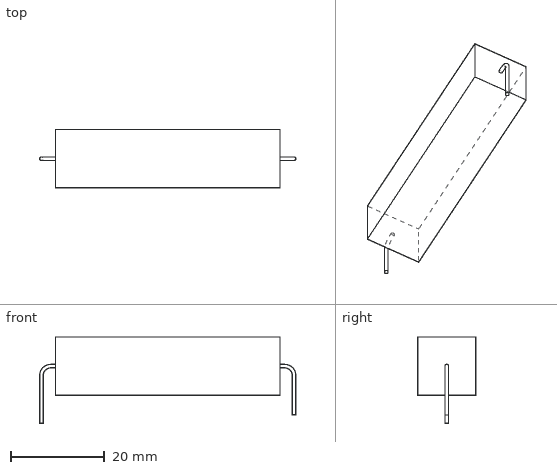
import cadquery as cq

body_length = 48.0
body_width = 12.5
body_height = 12.5

lead_diameter = 0.8
lead_spacing = 54.0
lead_exit_height = body_height / 2
bend_radius = 2.0
left_lead_depth = 6.0
right_lead_depth = 4.2


def make_body():
    return cq.Workplane("XY").box(
        body_length, body_width, body_height, centered=(True, True, False)
    )


def make_lead(side, depth):
    """Bent round wire on the -X (side = -1) or +X (side = 1) end of the body."""
    face_x = side * body_length / 2
    lead_x = side * lead_spacing / 2
    bend_start_x = lead_x - side * bend_radius
    bend_end_z = lead_exit_height - bend_radius

    path = (
        cq.Workplane("XZ")
        .moveTo(face_x, lead_exit_height)
        .lineTo(bend_start_x, lead_exit_height)
        .tangentArcPoint((lead_x, bend_end_z), relative=False)
        .lineTo(lead_x, -depth)
    )
    section = cq.Workplane("YZ", origin=(face_x, 0, lead_exit_height)).circle(lead_diameter / 2)
    return section.sweep(path)


result = (
    make_body()
    .union(make_lead(-1, left_lead_depth))
    .union(make_lead(1, right_lead_depth))
)